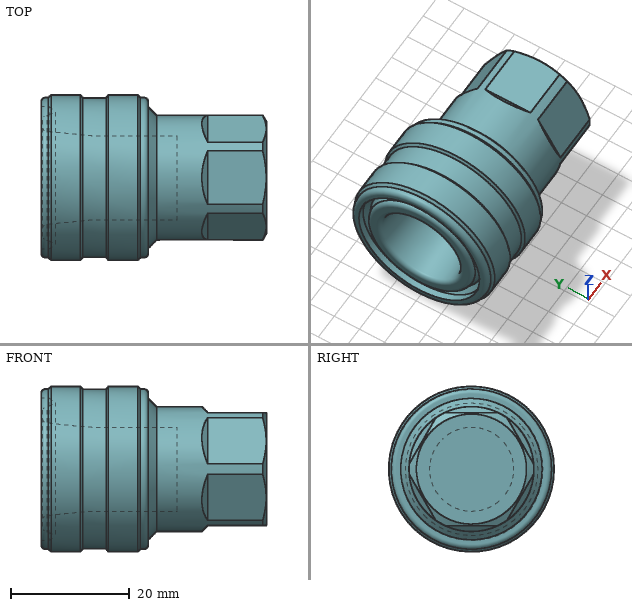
import cadquery as cq
import math


length = 38
band_radius = 27.85 / 2
rim_radius = 26.98 / 2
waist_radius = 26.85 / 2
sleeve_length = 18.05
rim_fillet = 0.8
front_rim_end = 1.2
front_band_start = 1.75
front_band_end = 6.6
waist_start = 7.03
waist_end = 10.95
rear_band_start = 11.32
rear_band_end = 16.25
rear_rim_start = 16.72

tail_radius = 21.0 / 2
shoulder_radius = 11.9
shoulder_length = shoulder_radius - tail_radius
flat_distance = 9.5
flat_start = 28.05
flat_count = 6
end_chamfer_length = 0.72
end_chamfer_depth = end_chamfer_length * math.tan(math.radians(60))

mouth_radius = 23.95 / 2
groove_root_radius = 11.15
mouth_straight_depth = 1.33
groove_root_depth = 2.4
ring_radius = 21.0 / 2
ring_recess = 0.2
ring_fillet = 0.8

socket_radius = 15.6 / 2
socket_bore_radius = 7.05
socket_taper_end = 8.63
socket_depth = 22.8

arc_inset = 1 - math.sqrt(0.5)


def make_turned_body():
    """Revolve the half profile, drawn as (x, radius)."""
    inset = rim_fillet * arc_inset
    ring_inset = ring_fillet * arc_inset
    ring_crest = ring_recess + ring_fillet
    profile = (
        cq.Workplane("XY")
        .moveTo(socket_depth, 0)
        .lineTo(socket_depth, socket_bore_radius)
        .lineTo(socket_taper_end, socket_bore_radius)
        .lineTo(ring_crest, socket_radius)
        .threePointArc(
            (ring_recess + ring_inset, socket_radius + ring_inset),
            (ring_recess, socket_radius + ring_fillet),
        )
        .lineTo(ring_recess, ring_radius - ring_fillet)
        .threePointArc(
            (ring_recess + ring_inset, ring_radius - ring_inset),
            (ring_crest, ring_radius),
        )
        .lineTo(groove_root_depth, groove_root_radius)
        .lineTo(mouth_straight_depth, mouth_radius)
        .lineTo(0, mouth_radius)
        .lineTo(0, rim_radius - rim_fillet)
        .threePointArc((inset, rim_radius - inset), (rim_fillet, rim_radius))
        .lineTo(front_rim_end, rim_radius)
        .lineTo(front_band_start, band_radius)
        .lineTo(front_band_end, band_radius)
        .lineTo(waist_start, waist_radius)
        .lineTo(waist_end, waist_radius)
        .lineTo(rear_band_start, band_radius)
        .lineTo(rear_band_end, band_radius)
        .lineTo(rear_rim_start, rim_radius)
        .lineTo(sleeve_length - rim_fillet, rim_radius)
        .threePointArc(
            (sleeve_length - inset, rim_radius - inset),
            (sleeve_length, rim_radius - rim_fillet),
        )
        .lineTo(sleeve_length, shoulder_radius)
        .lineTo(sleeve_length + shoulder_length, tail_radius)
        .lineTo(length - end_chamfer_length, tail_radius)
        .lineTo(length, tail_radius - end_chamfer_depth)
        .lineTo(length, 0)
        .close()
    )
    return profile.revolve(360, (0, 0, 0), (1, 0, 0))


def make_flat_cutter():
    """Wedge that cuts the top wrench flat with a 45 degree run-out."""
    cut_height = band_radius - flat_distance
    return (
        cq.Workplane("XZ")
        .moveTo(flat_start, flat_distance)
        .lineTo(length, flat_distance)
        .lineTo(length, flat_distance + cut_height)
        .lineTo(flat_start - cut_height, flat_distance + cut_height)
        .close()
        .extrude(band_radius, both=True)
    )


result = make_turned_body()
flat_cutter = make_flat_cutter()
for index in range(flat_count):
    angle = index * 360 / flat_count
    result = result.cut(flat_cutter.rotate((0, 0, 0), (1, 0, 0), angle))